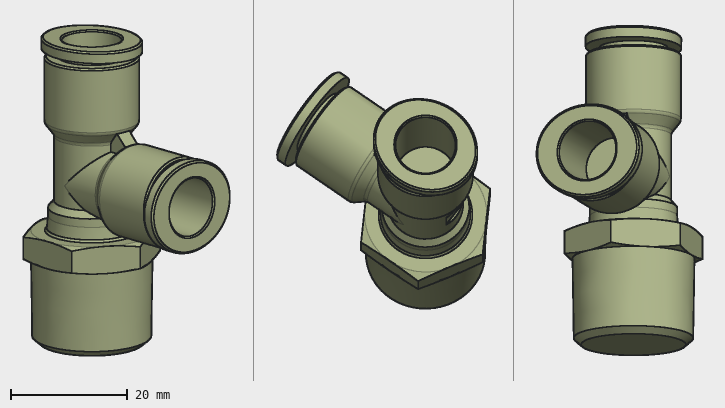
import cadquery as cq
import math

tee_height = 29.1
stem_radius = 6.5
body_radius = 8.15
cone_start = 8.0
cone_end = 10.15
cone_blend_radius = 1.05
body_end = 21.85
edge_chamfer = 0.3
neck_radius = 5.85
ring_start = 23.0
port_length = 25.0
ring_long_radius = 9.3
ring_short_radius = 8.1
bore_radius = 5.15
bore_bevel = 0.25
bore_depth = port_length - cone_end

stem_foot_height = 25.2
collar_top_height = 24.0
collar_radius = 7.5
collar_line_height = 22.55
skirt_radius = 7.75
skirt_foot_height = 20.35
flare_radius = 8.05

hex_bottom = 15.05
hex_top = 19.9
hex_across_flats = 21.0
hex_corner_drop = 0.5
thread_top_radius = 10.5
thread_end_radius = 10.3
thread_chamfer_height = 1.15
thread_tip_radius = 9.0

rib_width = 2.9
rib_reach = 9.85
rib_bevel_start = 7.9
flat_distance = 6.05
flat_centre_height = 31.05
flat_length = 3.15
flat_runout = 0.405


def make_port():
    """Tube port along +Z, starting at the tee centre; its oval ring is long in X."""
    stem_and_body = (
        cq.Workplane("XZ")
        .polyline([
            (0, 0),
            (stem_radius, 0),
            (stem_radius, cone_start),
            (body_radius, cone_end),
            (body_radius, body_end),
            (0, body_end),
        ])
        .close()
        .revolve(360, (0, 0), (0, 1))
    )
    stem_and_body = stem_and_body.faces(">Z").edges().chamfer(edge_chamfer)
    cone_edges = cq.selectors.BoxSelector(
        (-stem_radius, -stem_radius, cone_start - edge_chamfer),
        (stem_radius, stem_radius, cone_end + edge_chamfer),
    )
    stem_and_body = stem_and_body.edges("%CIRCLE").edges(cone_edges).fillet(cone_blend_radius)
    neck = cq.Workplane("XY").circle(neck_radius).extrude(ring_start)
    ring = (
        cq.Workplane("XY", origin=(0, 0, ring_start))
        .ellipse(ring_long_radius, ring_short_radius)
        .extrude(port_length - ring_start)
        .faces(">Z")
        .edges()
        .chamfer(edge_chamfer)
    )
    return stem_and_body.union(neck).union(ring)


def make_bore():
    """Blind tube bore with a bevelled mouth, placed like the port."""
    bore_floor = port_length - bore_depth
    return (
        cq.Workplane("XZ")
        .polyline([
            (0, bore_floor),
            (bore_radius, bore_floor),
            (bore_radius, port_length - bore_bevel),
            (bore_radius + bore_bevel, port_length),
            (0, port_length),
        ])
        .close()
        .revolve(360, (0, 0), (0, 1))
    )


def to_upright(shape):
    return shape.translate((0, 0, tee_height))


def to_branch(shape):
    """Turn a +Z port to point along +X with its oval ring long in Y."""
    turned = shape.rotate((0, 0, 0), (0, 0, 1), 90).rotate((0, 0, 0), (0, 1, 0), 90)
    return turned.translate((0, 0, tee_height))


def make_base():
    """Lower stem, collar and taper thread turned as one profile."""
    return (
        cq.Workplane("XZ")
        .polyline([
            (0, 0),
            (thread_tip_radius, 0),
            (thread_end_radius, thread_chamfer_height),
            (thread_top_radius, hex_bottom),
            (flare_radius, hex_bottom),
            (flare_radius, hex_top),
            (skirt_radius, skirt_foot_height),
            (collar_radius, collar_line_height),
            (collar_radius, collar_top_height),
            (stem_radius, stem_foot_height),
            (stem_radius, tee_height),
            (0, tee_height),
        ])
        .close()
        .revolve(360, (0, 0), (0, 1))
    )


def make_hex():
    """Hexagon with corners on the X axis, its corners bevelled on both faces."""
    corner_radius = hex_across_flats / math.sqrt(3)
    face_radius = hex_across_flats / 2
    prism = (
        cq.Workplane("XY", origin=(0, 0, hex_bottom))
        .polygon(6, 2 * corner_radius)
        .extrude(hex_top - hex_bottom)
    )
    bevel_envelope = (
        cq.Workplane("XZ")
        .polyline([
            (0, hex_bottom),
            (face_radius, hex_bottom),
            (corner_radius, hex_bottom + hex_corner_drop),
            (corner_radius, hex_top - hex_corner_drop),
            (face_radius, hex_top),
            (0, hex_top),
        ])
        .close()
        .revolve(360, (0, 0), (0, 1))
    )
    return prism.intersect(bevel_envelope)


def make_rib():
    """Rib filling the corner between the ports, with a 45 degree outer edge."""
    half_width = rib_width / 2
    return (
        cq.Workplane("XZ", origin=(0, half_width, tee_height))
        .polyline([
            (0, 0),
            (rib_reach, 0),
            (rib_reach, rib_bevel_start),
            (rib_bevel_start, rib_reach),
            (0, rib_reach),
        ])
        .close()
        .extrude(rib_width)
    )


def make_flat_cutter():
    """Cutter for the shallow flat with sloped ends on the -X side of the stem."""
    depth = stem_radius - flat_distance
    half_inner = flat_length / 2
    half_outer = half_inner + flat_runout
    return (
        cq.Workplane("XZ", origin=(0, stem_radius, flat_centre_height))
        .polyline([
            (-flat_distance, -half_inner),
            (-flat_distance, half_inner),
            (-flat_distance - depth, half_outer),
            (-flat_distance - depth, -half_outer),
        ])
        .close()
        .extrude(2 * stem_radius)
    )


port = make_port()
bore = make_bore()
result = make_base().union(make_hex()).union(make_rib())
for place in (to_upright, to_branch):
    result = result.union(place(port))
for place in (to_upright, to_branch):
    result = result.cut(place(bore))
result = result.cut(make_flat_cutter())